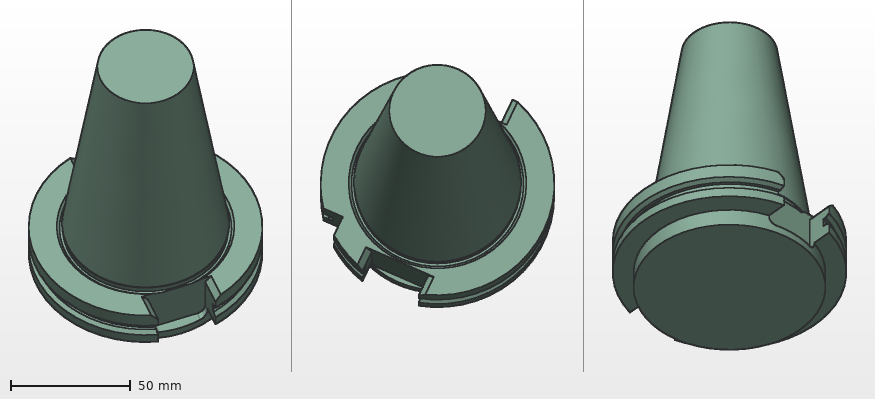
import cadquery as cq

total_height = 128.6
gauge_z = 26.9
flange_top_z = 25.3
flange_bottom_z = 8.1

taper_ratio = 7 / 24
gauge_radius = 69.8 / 2
taper_end_radius = gauge_radius - taper_ratio * (total_height - gauge_z) / 2
neck_radius = 69.2 / 2

recess_outer_radius = 37.0
recess_depth = 1.2
recess_floor_z = flange_top_z - recess_depth

flange_radius = 97.5 / 2
hub_radius = 80.0 / 2
groove_radius = 90.9 / 2
groove_bottom_z = 13.9
groove_top_z = 17.6
groove_lip_width = 2.0
groove_lip_height = 1.2

slot_width = 25.7
slot_bottom_z = 3.9
slot_corner_radius = 3.6
slot_chamfer = 2.7
left_slot_floor = 37.7
right_slot_floor = 35.2

notch_x = -29.7
notch_y = 29.8


def make_body():
    lip_radius = flange_radius - groove_lip_width
    return (
        cq.Workplane("XZ")
        .moveTo(0, 0)
        .lineTo(hub_radius, 0)
        .lineTo(hub_radius, flange_bottom_z)
        .lineTo(flange_radius, flange_bottom_z)
        .lineTo(flange_radius, groove_bottom_z - groove_lip_height)
        .lineTo(lip_radius, groove_bottom_z)
        .lineTo(groove_radius, groove_bottom_z)
        .lineTo(groove_radius, groove_top_z)
        .lineTo(lip_radius, groove_top_z)
        .lineTo(flange_radius, groove_top_z + groove_lip_height)
        .lineTo(flange_radius, flange_top_z)
        .lineTo(recess_outer_radius, flange_top_z)
        .lineTo(recess_outer_radius - recess_depth, recess_floor_z)
        .lineTo(neck_radius, recess_floor_z)
        .lineTo(neck_radius, gauge_z)
        .lineTo(gauge_radius, gauge_z)
        .lineTo(taper_end_radius, total_height)
        .lineTo(0, total_height)
        .close()
        .revolve(360, (0, 0), (0, 1))
    )


def make_slot(side, floor_distance):
    """Cutter for a drive slot open to the outside; side is -1 or +1 along X."""
    half_width = slot_width / 2
    slot_length = flange_radius
    profile = (
        cq.Workplane("YZ", origin=(side * floor_distance, 0, 0))
        .moveTo(-half_width, slot_bottom_z)
        .lineTo(half_width, slot_bottom_z)
        .lineTo(half_width, flange_top_z - slot_chamfer)
        .lineTo(half_width + slot_chamfer, flange_top_z)
        .lineTo(-half_width - slot_chamfer, flange_top_z)
        .lineTo(-half_width, flange_top_z - slot_chamfer)
        .close()
    )
    lower_corners = cq.selectors.BoxSelector(
        (-2 * flange_radius, -flange_radius, 0),
        (2 * flange_radius, flange_radius, slot_bottom_z + slot_corner_radius),
    )
    cutter = profile.extrude(side * slot_length)
    return cutter.edges("|X").edges(lower_corners).fillet(slot_corner_radius)


def make_notch():
    height = flange_top_z - flange_bottom_z
    block = cq.Workplane("XY").box(flange_radius, flange_radius, height, centered=False)
    return block.translate((notch_x - flange_radius, notch_y, flange_bottom_z))


result = (
    make_body()
    .cut(make_slot(-1, left_slot_floor))
    .cut(make_slot(1, right_slot_floor))
    .cut(make_notch())
)